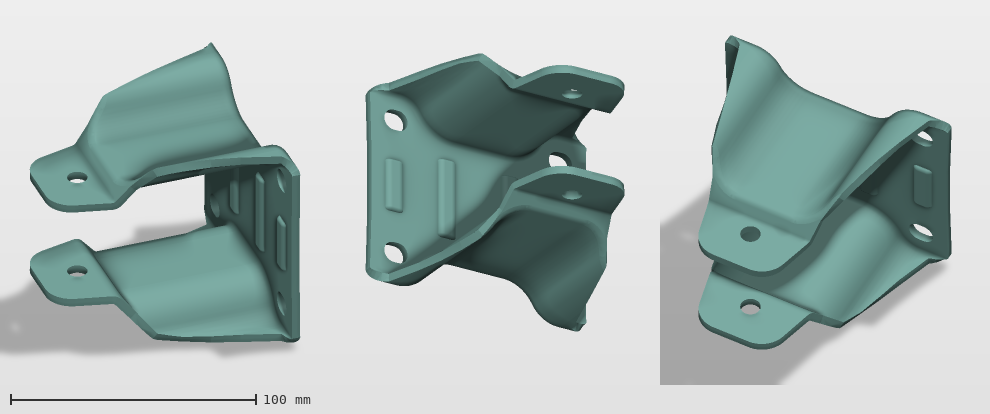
import cadquery as cq
import math


sheet = 3.5
base_width = 103.0
height = 89.7
depth = 94.8
waist_depth = 0.8
inner_bend = 1.9
outer_bend = inner_bend + sheet

crown_z = height / 2
floor_z = 29.5
floor_half = 12.5
crown_start = 38.6
s_half_run = (crown_start - floor_half) / 2
s_half_rise = (crown_z - floor_z) / 2
s_angle = 2 * math.atan(s_half_rise / s_half_run)
s_radius = s_half_run / math.sin(s_angle)
crown_axis_z = crown_z - s_radius

tab_z = 24.5
slope_angle = math.radians(50)
slope_end = 70.5
slope_bend = 3.5

tab_corner = 11.5
tab_root_half = 23.3
tab_end_half = 17.2
pin_diameter = 8.3
pin_y = -77.9

slot_x = 39.1
slot_z = 29.9
slot_length = 11.0
slot_width = 9.0

bead_height = 1.5
bead_rounding = 3.1
bead_width = 9.5
bead_end_rounding = 1.4
bead_bar = 4.1
long_bead_x = 15.0
long_bead_length = 35.3
short_bead_x = 40.1
short_bead_length = 23.3

fold_trim_x = 43.7
fold_trim_power = 1.5
flat_crown_end = 21.2
knee_x = 29.2
slope_kink_x = 24.9
slope_kink_y = 64.2
trim_over = 10.3
trim_under = 1.0

select_margin = 0.1


def slope_y(z, drop=0.0):
    """-Y distance of the slope plane at height z, shifted inward by drop."""
    return slope_end - (z - tab_z) / math.tan(slope_angle) - drop / math.sin(slope_angle)


def trough_block(inset):
    """Solid under the trough outline, its skin offset inward by inset."""
    convex = s_radius - inset
    concave = s_radius + inset
    crown = crown_z - inset
    floor = floor_z - inset
    sine_mid, cosine_mid = math.sin(s_angle / 2), math.cos(s_angle / 2)
    sine, cosine = math.sin(s_angle), math.cos(s_angle)

    concave_mid = (floor_half + concave * sine_mid, floor + concave * (1 - cosine_mid))
    join = (floor_half + concave * sine, floor + concave * (1 - cosine))
    convex_mid = (crown_start - convex * sine_mid, crown - convex * (1 - cosine_mid))
    return (
        cq.Workplane("XZ")
        .lineTo(0, floor)
        .lineTo(floor_half, floor)
        .threePointArc(concave_mid, join)
        .threePointArc(convex_mid, (crown_start, crown))
        .lineTo(base_width / 2, crown)
        .lineTo(base_width / 2, 0)
        .close()
        .extrude(2 * depth)
    )


def side_block(inset, front, reach, bend):
    """Solid with the upper side outline; bend rounds the corner at the tab root."""
    root = slope_end - inset * math.tan(slope_angle / 2)
    top = crown_z + sheet
    outline = (
        cq.Workplane("YZ")
        .moveTo(-front, 0)
        .lineTo(-front, top)
        .lineTo(-slope_y(top, inset), top)
        .lineTo(-root, tab_z - inset)
        .lineTo(-reach, tab_z - inset)
        .lineTo(-reach, 0)
        .close()
        .extrude(base_width / 2)
    )
    face_z = tab_z - inset
    margin = select_margin
    root_edge = cq.selectors.BoxSelector(
        (0, -root - margin, face_z - margin), (base_width, -root + margin, face_z + margin)
    )
    return outline.edges(root_edge).fillet(bend)


def envelope(inset, front, reach, base_bend, root_bend, top_bend):
    """Block for the +X, +Z quarter of the part, bounded by one skin of the sheet."""
    block = trough_block(inset).intersect(side_block(inset, front, reach, root_bend))
    margin = select_margin
    right = base_width / 2 - margin
    low = floor_z - inset - margin
    base_edges = cq.selectors.BoxSelector(
        (0, -front - margin, low), (right, -front + margin, height)
    )
    block = block.edges(base_edges).fillet(base_bend)
    if top_bend:
        slope_edges = cq.selectors.BoxSelector(
            (0, -slope_y(floor_z) - margin, low), (right, -slope_y(crown_z) + margin, height)
        )
        block = block.edges(slope_edges).fillet(top_bend)
    return block


def offset(point, direction, distance):
    return tuple(p + d * distance for p, d in zip(point, direction))


def trim_section(point, normal, thickness=sheet):
    """Cut face through the sheet at a point of its outer skin, reaching outward along X."""
    beyond = base_width
    outer = offset(point, normal, trim_over)
    inner = offset(point, normal, -thickness - trim_under)
    corners = [outer, inner, (beyond, *inner[1:]), (beyond, *outer[1:])]
    return cq.Wire.makePolygon([cq.Vector(*c) for c in corners], close=True)


def fold_section(x, angle):
    """Trim across the base fold, at an angle around the fold axis."""
    normal = (0, math.cos(angle), math.sin(angle))
    axis = (x, -outer_bend, crown_z - outer_bend)
    return trim_section(offset(axis, normal, outer_bend), normal)


def trough_point(angle, y):
    normal = (-math.sin(angle), 0, math.cos(angle))
    return offset((crown_start, y, crown_axis_z), normal, s_radius), normal


def bisector_section(point, normal_a, normal_b):
    """Trim at a bend, halfway between the directions of its two flanks."""
    scale = 1 + sum(a * b for a, b in zip(normal_a, normal_b))
    halfway = tuple((a + b) / math.sqrt(2 * scale) for a, b in zip(normal_a, normal_b))
    return trim_section(point, halfway, sheet * math.sqrt(2 / scale))


def edge_trim():
    """Material outside the free edge of the +X, +Z wall, square to the sheet all along."""
    up = (0, 0, 1)
    slope_normal = (0, -math.sin(slope_angle), math.cos(slope_angle))
    knee_angle = math.asin((crown_start - knee_x) / s_radius)
    knee_y = slope_y(trough_point(knee_angle, 0)[0][2])

    sections = []
    fold_steps = 4
    for step in range(fold_steps + 1):
        part = step / fold_steps
        x = base_width / 2 - (base_width / 2 - fold_trim_x) * part**fold_trim_power
        sections.append(fold_section(x, part * math.pi / 2))

    trough_steps = 3
    for step in range(trough_steps):
        part = step / trough_steps
        y = -flat_crown_end - (knee_y - flat_crown_end) * part
        sections.append(trim_section(*trough_point(knee_angle * part, y)))

    knee, knee_normal = trough_point(knee_angle, -knee_y)
    sections.append(bisector_section(knee, knee_normal, slope_normal))
    kink_z = tab_z + (slope_end - slope_kink_y) * math.tan(slope_angle)
    sections.append(trim_section((slope_kink_x, -slope_kink_y, kink_z), slope_normal))
    sections.append(bisector_section((tab_root_half, -slope_end, tab_z), slope_normal, up))
    sections.append(trim_section((tab_end_half, -depth, tab_z), up))
    return [
        cq.Workplane(obj=cq.Solid.makeLoft([a, b], True))
        for a, b in zip(sections, sections[1:])
    ]


def base_side_notch():
    """Shallow arc taken off the +X edge of the base."""
    edge = base_width / 2
    corner_z = crown_z - outer_bend
    return (
        cq.Workplane("XZ")
        .moveTo(edge, corner_z)
        .threePointArc((edge - waist_depth, 0), (edge, -corner_z))
        .close()
        .extrude(sheet)
    )


def bead(x, length):
    """Rounded bar sunk into the base so that only its crown stands proud."""
    bar = (
        cq.Workplane("XY")
        .box(bead_width, bead_bar, length)
        .edges("|Z and <Y")
        .fillet(bead_rounding)
        .faces("<Z or >Z")
        .edges("not >Y")
        .fillet(bead_end_rounding)
    )
    return bar.translate((x, bead_bar / 2 - sheet - bead_height, 0))


outside = envelope(0, 0, depth, outer_bend, inner_bend, slope_bend)
inside = envelope(sheet, sheet, depth + sheet, inner_bend, outer_bend, 0)
quarter = outside.cut(inside)
for trim in edge_trim():
    quarter = quarter.cut(trim)
quarter = quarter.cut(base_side_notch())
half = quarter.union(quarter.mirror("YZ"))
body = half.union(half.mirror("XY"))
body = body.faces("<Y").edges("|Z").fillet(tab_corner)

slots = (
    cq.Workplane("XZ")
    .rect(2 * slot_x, 2 * slot_z, forConstruction=True)
    .vertices()
    .slot2D(slot_length, slot_width)
    .extrude(sheet)
)
pin = cq.Workplane("XY").center(0, pin_y).circle(pin_diameter / 2).extrude(tab_z, both=True)
body = body.cut(slots).cut(pin)

for position, bead_length in ((long_bead_x, long_bead_length), (short_bead_x, short_bead_length)):
    for x in (-position, position):
        body = body.union(bead(x, bead_length))

result = body